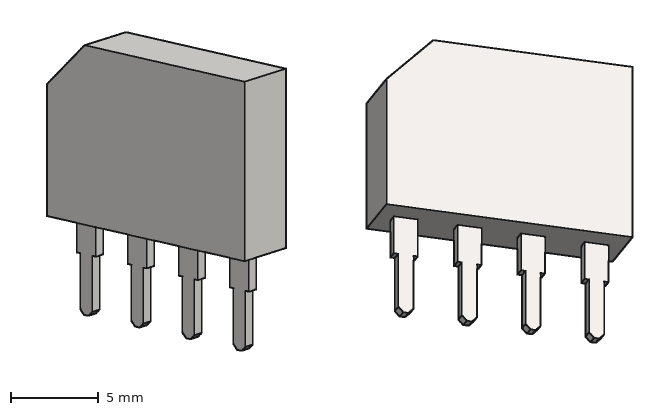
import cadquery as cq

body_width = 14.75
body_depth = 3.65
overall_height = 16.49
body_height = 10.6
corner_cut = 2.8

lead_count = 4
lead_pitch = 3.81
lead_thickness = 0.66
shoulder_width = 1.43
shoulder_length = 2.3
tail_width = 0.9
tip_cut = 0.3
lead_length = overall_height - body_height


def make_body():
    """Slab standing on Z = 0, with its -X top corner cut at 45 degrees."""
    slab = cq.Workplane("XY").box(body_width, body_depth, body_height, centered=(True, True, False))
    return slab.edges("<X and >Z").chamfer(corner_cut)


def make_lead(x_center):
    """Stepped flat lead hanging below Z = 0."""
    plan = cq.Workplane("XY").center(x_center, 0)
    shoulder = plan.rect(shoulder_width, lead_thickness).extrude(-shoulder_length)
    tail = plan.rect(tail_width, lead_thickness).extrude(-lead_length)
    tail = tail.faces("<Z").edges("|Y").chamfer(tip_cut)
    return shoulder.union(tail)


result = make_body()
for index in range(lead_count):
    lead_x = (index - (lead_count - 1) / 2) * lead_pitch
    result = result.union(make_lead(lead_x))